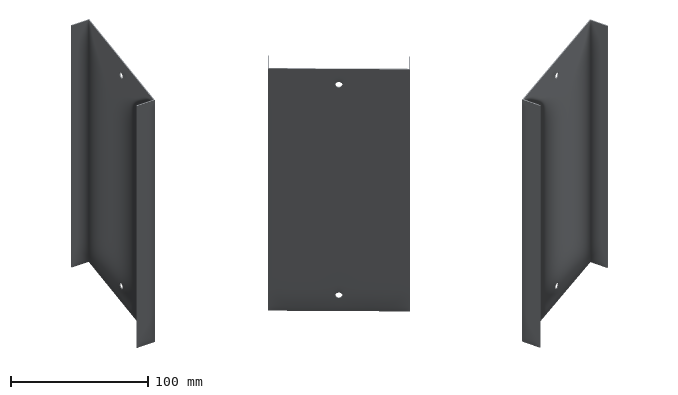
import cadquery as cq

width = 103.5
depth = 14.8
height = 231.0
sheet_thickness = 0.75

hole_diameter = 5.0
hole_end_distance = 15.0
hole_spacing = height - 2 * hole_end_distance


def make_channel():
    """Sheet-metal channel: web at the +Y side, two flanges pointing toward -Y."""
    outer = cq.Workplane("XY").box(width, depth, height)
    inside = cq.Workplane("XY").box(width - 2 * sheet_thickness, depth, height)
    return outer.cut(inside.translate((0, -sheet_thickness, 0)))


def make_holes():
    """Two round cutters along Y, on the vertical centre line of the web."""
    return (
        cq.Workplane("XZ")
        .pushPoints([(0, -hole_spacing / 2), (0, hole_spacing / 2)])
        .circle(hole_diameter / 2)
        .extrude(depth, both=True)
    )


result = make_channel().cut(make_holes())